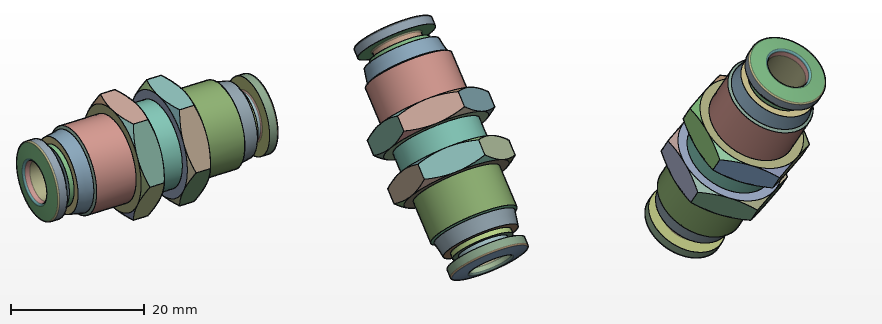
import cadquery as cq
import math

LENGTH = 39.0
HALF = LENGTH / 2
Y_AXIS = ((0, 0, 0), (0, 1, 0))

BODY_R = 7.02
BODY_DEPTH = 6.65
NOSE_BASE_R = 6.55
NOSE_BASE_DEPTH = 6.45
NOSE_TIP_R = 6.1
NOSE_TIP_DEPTH = 3.98

RING_R = 4.9
RING_DEPTH = 3.15
NECK_R = 3.98
NECK_FILLET = 0.2
COLLAR_R = 6.3
COLLAR_BACK_DEPTH = 2.0
COLLAR_FRONT_DEPTH = 0.45
COLLAR_EDGE_FILLET = 0.25

TAPER_R = 3.4
MOUTH_ROUND_R = 0.3
MOUTH_R = TAPER_R + MOUTH_ROUND_R
TAPER_DEPTH = 1.05
SOCKET_R = 3.25
SOCKET_DEPTH = 17.0
PASSAGE_R = 2.5

NUT_FLATS = 17.0
NUT_THICKNESS = 4.0
NUT_OFFSET = 2.0
NUT_CHAMFER_ANGLE = 30.0


def section_points(radii_and_depths):
    """Section-plane points for pairs of radius and distance in from the +Y end face."""
    return [(radius, HALF - depth) for radius, depth in radii_and_depths]


def end_piece():
    """Solid nose, retaining ring and release sleeve outside the barrel at the +Y end."""
    outline = section_points([
        (0, 0),
        (MOUTH_R, 0),
        (COLLAR_R, COLLAR_FRONT_DEPTH),
        (COLLAR_R, COLLAR_BACK_DEPTH),
        (NECK_R, COLLAR_BACK_DEPTH),
        (NECK_R, RING_DEPTH),
        (RING_R, RING_DEPTH),
        (RING_R, NOSE_TIP_DEPTH),
        (NOSE_TIP_R, NOSE_TIP_DEPTH),
        (NOSE_BASE_R, NOSE_BASE_DEPTH),
        (BODY_R, BODY_DEPTH),
        (0, BODY_DEPTH),
    ])
    end = cq.Workplane("XY").polyline(outline).close().revolve(360, *Y_AXIS)
    end = fillet_ring(end, COLLAR_R, COLLAR_FRONT_DEPTH, COLLAR_EDGE_FILLET)
    return fillet_ring(end, NECK_R, COLLAR_BACK_DEPTH, NECK_FILLET)


def socket_space():
    """Space of the tube socket at the +Y end, widening through the rounded lip."""
    outline = section_points([
        (0, 0),
        (0, SOCKET_DEPTH),
        (SOCKET_R, SOCKET_DEPTH),
        (SOCKET_R, TAPER_DEPTH),
        (TAPER_R, MOUTH_ROUND_R),
    ])
    mouth_rim = (MOUTH_R, HALF)
    return (
        cq.Workplane("XY")
        .polyline(outline)
        .radiusArc(mouth_rim, MOUTH_ROUND_R)
        .close()
        .revolve(360, *Y_AXIS)
    )


def fillet_ring(solid, radius, depth, fillet):
    """Round the circular edge of the given radius at the given depth from the +Y end."""
    y = HALF - depth
    margin = 0.005
    reach = radius + margin
    ring = cq.selectors.BoxSelector(
        (-reach, y - margin, -reach), (reach, y + margin, reach), boundingbox=True
    )
    inner = radius - margin
    edges = solid.edges(ring).filter(lambda edge: edge.geomType() == "CIRCLE" and edge.radius() > inner)
    return edges.fillet(fillet)


def nut():
    """Hexagon nut on the +Y side, corners along X, both faces chamfered to the flats."""
    corner_r = NUT_FLATS / math.sqrt(3)
    flat_r = NUT_FLATS / 2
    drop = (corner_r - flat_r) * math.tan(math.radians(NUT_CHAMFER_ANGLE))
    near = NUT_OFFSET
    far = NUT_OFFSET + NUT_THICKNESS

    hexagon = (
        cq.Workplane("XZ", origin=(0, far, 0))
        .polygon(6, 2 * corner_r)
        .circle(BODY_R)
        .extrude(NUT_THICKNESS)
    )
    envelope = (
        cq.Workplane("XY")
        .polyline([
            (0, near),
            (flat_r, near),
            (corner_r, near + drop),
            (corner_r, far - drop),
            (flat_r, far),
            (0, far),
        ])
        .close()
        .revolve(360, *Y_AXIS)
    )
    return hexagon.intersect(envelope)


def centred_cylinder(radius, length):
    """Cylinder along Y, centred on the origin."""
    return cq.Workplane("XZ").circle(radius).extrude(length / 2, both=True)


def at_both_ends(solid, feature):
    """The +Y feature and the same feature turned half a turn about Z to -Y, joined to the solid."""
    return solid.union(feature).union(opposite(feature))


def opposite(feature):
    """The feature turned half a turn about Z, to the other end of the fitting."""
    return feature.rotate((0, 0, 0), (0, 0, 1), 180)


barrel = centred_cylinder(BODY_R, LENGTH - 2 * BODY_DEPTH)
fitting = at_both_ends(barrel, end_piece())
fitting = at_both_ends(fitting, nut())

bore = at_both_ends(centred_cylinder(PASSAGE_R, LENGTH), socket_space())
result = fitting.cut(bore)